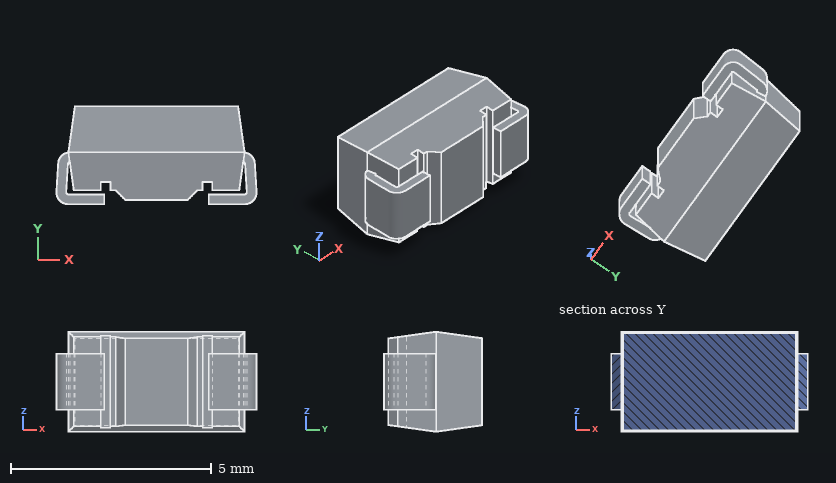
import cadquery as cq
import math

LENGTH = 4.4
WIDTH = 2.5
DRAFT_ANGLE = 8.0
PARTING_Y = 0.075
TOP_Y = 1.225
SEAT_Y = -1.12

LEDGE_Y = -0.875
PAD_HALF_LENGTH = 0.775
SHOULDER_RUN = LEDGE_Y - SEAT_Y
GROOVE_INNER_X = 1.15
GROOVE_WIDTH = 0.24
GROOVE_ROOF_Y = -0.67

LEAD_WIDTH = 1.4
LEAD_THICKNESS = 0.25
LEAD_BOTTOM_Y = -1.225
LEAD_SPAN = 5.0
LEAD_TIP_X = 1.3
LEAD_TILT = math.radians(3.5)
INNER_BEND_RADIUS = 0.05
OUTER_BEND_RADIUS = INNER_BEND_RADIUS + LEAD_THICKNESS
LEAD_ROOT_INSET = 0.25
LEAD_ROOT_X = LENGTH / 2 - LEAD_ROOT_INSET


def centred_prism(outline, width):
    """Extrude a closed XY outline symmetrically about Z = 0."""
    return outline.close().extrude(width / 2, both=True)


def drafted_half(height):
    """Half of the package, tapering from the parting plane; negative height goes to -Y."""
    return (
        cq.Workplane("XZ", origin=(0, PARTING_Y, 0))
        .rect(LENGTH, WIDTH)
        .extrude(-height, taper=DRAFT_ANGLE)
    )


def underside_relief():
    """Material removed below the ledge, shoulder and groove at the -X end."""
    shoulder_x = PAD_HALF_LENGTH + SHOULDER_RUN
    groove_outer_x = GROOVE_INNER_X + GROOVE_WIDTH
    outline = cq.Workplane("XY").polyline([
        (-PAD_HALF_LENGTH, SEAT_Y),
        (-shoulder_x, LEDGE_Y),
        (-GROOVE_INNER_X, LEDGE_Y),
        (-GROOVE_INNER_X, GROOVE_ROOF_Y),
        (-groove_outer_x, GROOVE_ROOF_Y),
        (-groove_outer_x, LEDGE_Y),
        (-LENGTH / 2, LEDGE_Y),
        (-LENGTH / 2, SEAT_Y),
    ])
    return centred_prism(outline, WIDTH)


def make_upper_half():
    return drafted_half(TOP_Y - PARTING_Y)


def make_lower_half():
    relief = underside_relief()
    return drafted_half(SEAT_Y - PARTING_Y).cut(relief).cut(relief.mirror("YZ"))


def on_bend(centre, radius, angle):
    return (centre[0] + radius * math.cos(angle), centre[1] + radius * math.sin(angle))


def make_lead(package_half):
    """Lead at the -X end: out of the package, down its end and back underneath."""
    up, down = math.pi / 2, 3 * math.pi / 2
    outward = math.pi - LEAD_TILT
    upper_middle = (up + outward) / 2
    lower_middle = (outward + down) / 2

    lower = (-LEAD_SPAN / 2 + OUTER_BEND_RADIUS, LEAD_BOTTOM_Y + OUTER_BEND_RADIUS)
    upper_y = PARTING_Y - OUTER_BEND_RADIUS
    upper = (lower[0] + (upper_y - lower[1]) * math.tan(LEAD_TILT), upper_y)

    outer, inner = OUTER_BEND_RADIUS, INNER_BEND_RADIUS
    outline = (
        cq.Workplane("XY")
        .moveTo(-LEAD_TIP_X, LEAD_BOTTOM_Y)
        .lineTo(*on_bend(lower, outer, down))
        .threePointArc(on_bend(lower, outer, lower_middle), on_bend(lower, outer, outward))
        .lineTo(*on_bend(upper, outer, outward))
        .threePointArc(on_bend(upper, outer, upper_middle), on_bend(upper, outer, up))
        .lineTo(-LEAD_ROOT_X, PARTING_Y)
        .lineTo(-LEAD_ROOT_X, PARTING_Y - LEAD_THICKNESS)
        .lineTo(*on_bend(upper, inner, up))
        .threePointArc(on_bend(upper, inner, upper_middle), on_bend(upper, inner, outward))
        .lineTo(*on_bend(lower, inner, outward))
        .threePointArc(on_bend(lower, inner, lower_middle), on_bend(lower, inner, down))
        .lineTo(-LEAD_TIP_X, LEAD_BOTTOM_Y + LEAD_THICKNESS)
    )
    return centred_prism(outline, LEAD_WIDTH).cut(package_half)


upper_half = make_upper_half()
lower_half = make_lower_half()
left_lead = make_lead(lower_half)
leads = [left_lead, left_lead.mirror("YZ")]

result = cq.Compound.makeCompound(
    [upper_half.val(), lower_half.val(), *[lead.val() for lead in leads]]
)